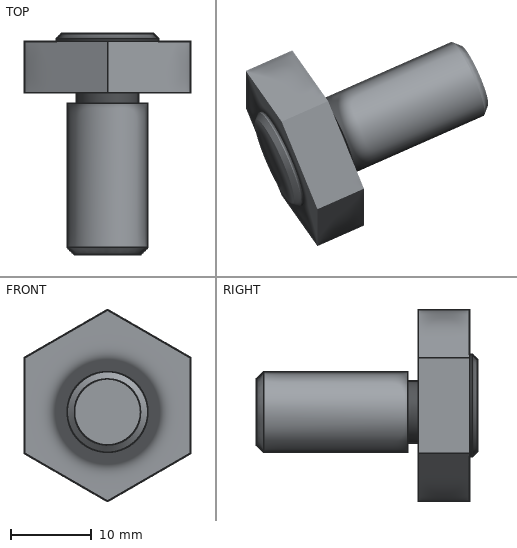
import cadquery as cq
import math

total_length = 27.43
boss_height = 1.0
head_height = 6.4
neck_length = 1.25
shank_length = total_length - boss_height - head_height - neck_length

across_flats = 20.6
across_corners = across_flats / math.cos(math.radians(30))

boss_diameter = 12.7
boss_chamfer = 0.65
neck_diameter = 7.7
shank_diameter = 10.0
shank_chamfer = 0.9

eccentricity = 0.8


def cylinder_along_y(diameter, start_y, length, center_z=0):
    """Cylinder running from start_y toward -Y."""
    return (
        cq.Workplane("XZ", origin=(0, start_y, center_z))
        .circle(diameter / 2)
        .extrude(length)
    )


head = (
    cq.Workplane("XZ", origin=(0, head_height, 0))
    .transformed(rotate=(0, 0, 30))
    .polygon(6, across_corners)
    .extrude(head_height)
)

boss = (
    cylinder_along_y(boss_diameter, head_height + boss_height, boss_height)
    .faces(">Y")
    .chamfer(boss_chamfer)
)

neck = cylinder_along_y(neck_diameter, 0, neck_length, -eccentricity)
shank = (
    cylinder_along_y(shank_diameter, -neck_length, shank_length, -eccentricity)
    .faces("<Y")
    .chamfer(shank_chamfer)
)

result = head.union(boss).union(neck).union(shank)